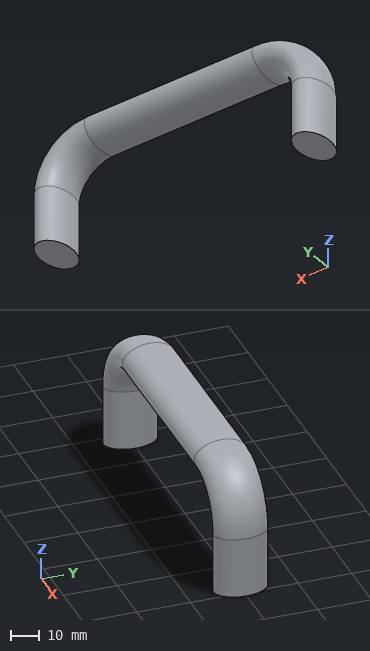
import cadquery as cq

leg_spacing = 112.0
height = 49.0
section_depth = 20.0
section_thickness = 13.0
inner_bend_radius = 13.0

bend_radius = inner_bend_radius + section_thickness / 2
half_spacing = leg_spacing / 2
grip_z = height - section_thickness / 2
leg_length = grip_z - bend_radius
grip_half_length = half_spacing - bend_radius


def bow_path():
    """Leg, bend, grip, bend and leg as one tangent centreline in the XZ plane."""
    return (
        cq.Workplane("XZ")
        .moveTo(-half_spacing, 0)
        .lineTo(-half_spacing, leg_length)
        .tangentArcPoint((-grip_half_length, grip_z), relative=False)
        .lineTo(grip_half_length, grip_z)
        .tangentArcPoint((half_spacing, leg_length), relative=False)
        .lineTo(half_spacing, 0)
    )


def bow_handle():
    """Elliptical section swept from foot to foot."""
    foot = cq.Workplane("XY").center(-half_spacing, 0)
    return foot.ellipse(section_thickness / 2, section_depth / 2).sweep(bow_path())


result = bow_handle()